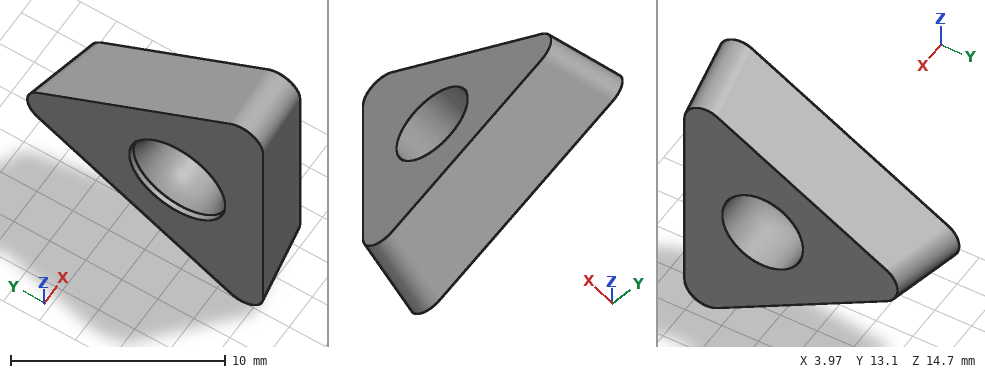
import cadquery as cq
import math

INSCRIBED_DIAMETER = 9.525
THICKNESS = 3.97
NOSE_RADIUS = 1.2
RELIEF_ANGLE = 7.0

BORE_RADIUS = 2.2
MOUTH_RADIUS = 2.66
MOUTH_DEPTH = 0.31
SEAT_START_RADIUS = 2.62
SEAT_END_DEPTH = 1.73

CORNER_ANGLES = (0, 120, 240)
HALF_NOSE_ARC = 60


def polar_offset(center, radius, angle):
    """Point at the given radius and angle (degrees) from a center in the YZ plane."""
    direction = math.radians(angle)
    return (
        center[0] + radius * math.cos(direction),
        center[1] + radius * math.sin(direction),
    )


def triangle_wire(x, inradius):
    """Closed round-nosed equilateral triangle in the plane at the given X."""
    nose_center_distance = 2 * (inradius - NOSE_RADIUS)
    outline = cq.Workplane("YZ", origin=(x, 0, 0))
    for corner in CORNER_ANGLES:
        center = polar_offset((0, 0), nose_center_distance, corner)
        start = polar_offset(center, NOSE_RADIUS, corner - HALF_NOSE_ARC)
        tip = polar_offset(center, NOSE_RADIUS, corner)
        end = polar_offset(center, NOSE_RADIUS, corner + HALF_NOSE_ARC)
        if corner == CORNER_ANGLES[0]:
            outline = outline.moveTo(*start)
        else:
            outline = outline.lineTo(*start)
        outline = outline.threePointArc(tip, end)
    return outline.close().val()


def make_body():
    """Ruled solid between the large and small faces; nose radius stays constant."""
    large_inradius = INSCRIBED_DIAMETER / 2
    small_inradius = large_inradius - THICKNESS * math.tan(math.radians(RELIEF_ANGLE))
    large_face = triangle_wire(0, large_inradius)
    small_face = triangle_wire(THICKNESS, small_inradius)
    return cq.Workplane(obj=cq.Solid.makeLoft([large_face, small_face], True))


def make_screw_hole():
    """Revolved cutter about the X axis; the seat arc runs tangent into the bore."""
    seat_length = SEAT_END_DEPTH - MOUTH_DEPTH
    seat_rise = SEAT_START_RADIUS - BORE_RADIUS
    arc_radius = (seat_length**2 + seat_rise**2) / (2 * seat_rise)
    half_sweep = math.asin(seat_length / arc_radius) / 2
    arc_middle = (
        SEAT_END_DEPTH - arc_radius * math.sin(half_sweep),
        BORE_RADIUS + arc_radius * (1 - math.cos(half_sweep)),
    )
    return (
        cq.Workplane("XZ")
        .moveTo(0, 0)
        .lineTo(0, MOUTH_RADIUS)
        .lineTo(MOUTH_DEPTH, SEAT_START_RADIUS)
        .threePointArc(arc_middle, (SEAT_END_DEPTH, BORE_RADIUS))
        .lineTo(THICKNESS, BORE_RADIUS)
        .lineTo(THICKNESS, 0)
        .close()
        .revolve(360, (0, 0, 0), (1, 0, 0))
    )


result = make_body().cut(make_screw_hole())